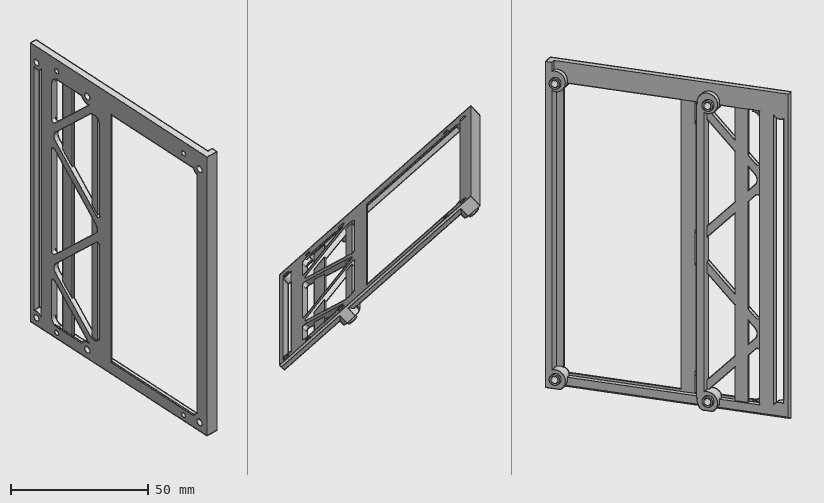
import cadquery as cq
import math

width = 94.4
height = 127.0
sheet_depth = 0.6
rim_depth = 2.8
raised_depth = 5.0
total_depth = 6.2
back_chamfer_rise = 1.1
back_chamfer_run = 1.8

mid_z = 61.6
opening_half = 56.4
opening_bottom = mid_z - opening_half
opening_top = mid_z + opening_half
slot_left, slot_right = 1.8, 5.7
truss_left, truss_right = 11.3, 37.0
window_left, window_right = 42.9, 88.9

rim_setback = 0.9
rim_bottom = opening_bottom - rim_setback
rim_top = opening_top + rim_setback

bar_width = 3.0
bar_depth = 2.0
bar_rise = bar_width * math.sqrt(2)
truss_span = truss_right - truss_left
large_radius = 3.0
small_radius = 1.0

strip_left, strip_right = 16.1, 21.2
strip_front, strip_back = 1.0, 2.0
rail_left, rail_right = 32.1, 35.2
edge_rail_width = 2.5

boss_columns = ((30.9, 30.4), (90.5, 90.3))
boss_offset = 58.2
boss_diameter = 8.0
pin_offset = 57.7
pin_diameter = 4.2
pin_bore = 2.8

socket_x = 3.2
socket_offset = 58.2
socket_diameter = 2.7
socket_wall_diameter = 6.1
socket_depth = 2.0
peg_hole_x = (14.0, 81.8)
peg_hole_z = (2.5, 121.8)
peg_hole_diameter = 2.0
peg_hole_depth = 2.0


def block(x0, x1, y0, y1, z0, z1):
    """Box between the given limits."""
    return cq.Workplane("XY", origin=(x0, y0, z0)).box(x1 - x0, y1 - y0, z1 - z0, centered=False)


def rod(x, z, diameter, depth):
    """Cylinder running back from the front face."""
    return cq.Workplane("XZ", origin=(x, 0, z)).circle(diameter / 2).extrude(-depth)


def bar_prism(points):
    """Prism as deep as the truss bars over an (x, z) outline."""
    return cq.Workplane("XZ").polyline(points).close().extrude(-bar_depth)


def round_corner(body, x, z, radius):
    """Round the corner edge running along Y at (x, z)."""
    edge = body.edges(cq.selectors.NearestToPointSelector((x, bar_depth / 2, z)))
    return edge.fillet(radius)


def with_mirror(body):
    """Join a body with its reflection about the symmetry line of the openings."""
    return body.union(body.mirror("XY", (0, 0, mid_z)))


def truss_openings():
    """Five rounded triangular openings left between the zigzag bars."""
    middle_end = mid_z + truss_span
    left_node = middle_end + bar_rise
    right_low = mid_z + bar_rise
    right_high = left_node + truss_span
    upper_start = left_node + bar_rise
    middle_start = 2 * mid_z - middle_end

    middle = bar_prism([(truss_left, middle_start), (truss_right, mid_z), (truss_left, middle_end)])
    middle = round_corner(middle, truss_right, mid_z, large_radius)
    middle = round_corner(middle, truss_left, middle_end, small_radius)
    middle = round_corner(middle, truss_left, middle_start, small_radius)

    right = bar_prism([(truss_left, left_node), (truss_right, right_low), (truss_right, right_high)])
    right = round_corner(right, truss_left, left_node, large_radius)
    right = round_corner(right, truss_right, right_low, small_radius)
    right = round_corner(right, truss_right, right_high, large_radius)

    upper_end_x = truss_left + opening_top - upper_start
    upper = bar_prism([(truss_left, upper_start), (upper_end_x, opening_top), (truss_left, opening_top)])
    upper = round_corner(upper, truss_left, upper_start, small_radius)
    upper = round_corner(upper, truss_left, opening_top, large_radius)

    return middle.union(with_mirror(right)).union(with_mirror(upper))


def truss():
    """Zigzag bars filling the left opening around its cutouts."""
    panel = block(truss_left, truss_right, 0, bar_depth, opening_bottom, opening_top)
    return panel.cut(truss_openings())


def front_sheet():
    """Thin front sheet with the two large openings."""
    sheet = block(0, width, 0, sheet_depth, 0, height)
    for left, right in ((truss_left, truss_right), (window_left, window_right)):
        sheet = sheet.cut(block(left, right, 0, sheet_depth, opening_bottom, opening_top))
    return sheet


def rims():
    """Rims along the bottom, the top and the slotted left side."""
    frame = block(0, width, 0, rim_depth, 0, rim_bottom)
    frame = frame.union(block(0, width, 0, rim_depth, rim_top, height))
    left_side = block(0, truss_left, 0, rim_depth, 0, height)
    slot = block(slot_left, slot_right, 0, rim_depth, opening_bottom, opening_top)
    return frame.union(left_side.cut(slot))


def lower_back_chamfer():
    """Wedge removed along the lower back edge."""
    points = [(rim_depth, 0), (rim_depth - back_chamfer_run, 0), (rim_depth, back_chamfer_rise)]
    return cq.Workplane("YZ").polyline(points).close().extrude(width)


slot_cut = block(slot_left, slot_right, 0, sheet_depth, opening_bottom, opening_top)
tray = front_sheet().cut(slot_cut).union(truss()).union(rims())

for side in (-1, 1):
    socket_z = mid_z + side * socket_offset
    tray = tray.union(rod(socket_x, socket_z, socket_wall_diameter, rim_depth))
    tray = tray.cut(rod(socket_x, socket_z, socket_diameter, socket_depth))

for peg_x in peg_hole_x:
    for peg_z in peg_hole_z:
        tray = tray.cut(rod(peg_x, peg_z, peg_hole_diameter, peg_hole_depth))

tray = tray.cut(lower_back_chamfer())

tray = tray.union(block(strip_left, strip_right, strip_front, strip_back, rim_bottom, rim_top))
tray = tray.union(block(rail_left, rail_right, sheet_depth, raised_depth, rim_bottom, rim_top))
tray = tray.union(block(width - edge_rail_width, width, 0, raised_depth, 0, height))

outline = block(0, width, 0, raised_depth, 0, height)
for boss_x, pin_x in boss_columns:
    for side in (-1, 1):
        pin_z = mid_z + side * pin_offset
        boss = rod(boss_x, mid_z + side * boss_offset, boss_diameter, raised_depth)
        tray = tray.union(boss.intersect(outline))
        tray = tray.union(rod(pin_x, pin_z, pin_diameter, total_depth))
        tray = tray.cut(rod(pin_x, pin_z, pin_bore, total_depth))

result = tray